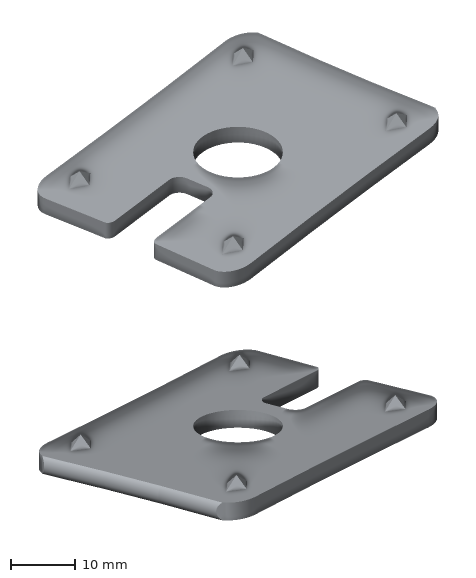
import cadquery as cq

half_width = 20.0
half_length = 28.3
thickness = 3.0

side_inset = 0.2
side_flat_half = 7.25
end_inset = 0.3
end_flat_half = 5.2

corner_x = 3.5
corner_y = 5.05

hole_diameter = 14.0

slot_half_width = 4.0
slot_top_y = -10.6
slot_top_radius = 2.0
mouth_round_x = 1.05
mouth_round_y = 1.45

nose_bulge = 0.6
nose_root_half = 18.0
nose_root_y = 27.8
nose_tip_half = 16.5
nose_embed = 1.15
nose_overrun = 2.85

spike_x = 15.0
spike_y = 21.25
spike_half_x = 1.95
spike_half_y = 2.8
spike_height = 1.9

corner_start_x = half_width - corner_x
corner_start_y = half_length - corner_y
side_flat_x = half_width - side_inset
end_flat_y = half_length - end_inset


def make_plate():
    """Plate with elliptical corners and slightly dished edges."""
    outline = (
        cq.Workplane("XY")
        .moveTo(half_width, corner_start_y)
        .ellipseArc(corner_x, corner_y, 0, 90)
        .lineTo(end_flat_half, end_flat_y)
        .lineTo(-end_flat_half, end_flat_y)
        .lineTo(-corner_start_x, half_length)
        .ellipseArc(corner_x, corner_y, 90, 180)
        .lineTo(-side_flat_x, side_flat_half)
        .lineTo(-side_flat_x, -side_flat_half)
        .lineTo(-half_width, -corner_start_y)
        .ellipseArc(corner_x, corner_y, 180, 270)
        .lineTo(-end_flat_half, -end_flat_y)
        .lineTo(end_flat_half, -end_flat_y)
        .lineTo(corner_start_x, -half_length)
        .ellipseArc(corner_x, corner_y, 270, 360)
        .lineTo(side_flat_x, -side_flat_half)
        .lineTo(side_flat_x, side_flat_half)
        .close()
    )
    return outline.extrude(thickness)


def nose_section(x, edge_y):
    """Section of the nose at x: an arc bulging past the plate edge, closed inside the plate."""
    embed_y = nose_root_y - nose_embed
    return (
        cq.Workplane("YZ", origin=(x, 0, 0))
        .moveTo(embed_y, 0)
        .lineTo(edge_y, 0)
        .threePointArc((edge_y + nose_bulge, thickness / 2), (edge_y, thickness))
        .lineTo(embed_y, thickness)
        .close()
        .val()
    )


def make_nose():
    """Rounded nose following the dished +Y edge, trimmed to a trapezoid in plan."""
    sections = [
        nose_section(-corner_start_x, half_length),
        nose_section(-end_flat_half, end_flat_y),
        nose_section(end_flat_half, end_flat_y),
        nose_section(corner_start_x, half_length),
    ]
    nose = cq.Workplane(cq.Solid.makeLoft(sections, True))
    for side in (-1, 1):
        end_face = cq.Face.makeFromWires(nose_section(side * corner_start_x, half_length))
        end = cq.Solid.extrudeLinear(end_face, cq.Vector(side * nose_overrun, 0, 0))
        nose = nose.union(cq.Workplane(end))
    tip_y = half_length + nose_bulge
    footprint = (
        cq.Workplane("XY")
        .polyline(
            [
                (-nose_root_half, nose_root_y),
                (nose_root_half, nose_root_y),
                (nose_tip_half, tip_y),
                (-nose_tip_half, tip_y),
            ]
        )
        .close()
        .extrude(thickness)
    )
    return nose.intersect(footprint)


def make_slot():
    """Slot cutter with rounded inner corners and a flared mouth."""
    mouth_half = slot_half_width + mouth_round_x
    neck_y = -end_flat_y + mouth_round_y
    round_start_y = slot_top_y - slot_top_radius
    outside_y = -half_length
    outline = (
        cq.Workplane("XY")
        .moveTo(-mouth_half, outside_y)
        .lineTo(-mouth_half, -end_flat_y)
        .ellipseArc(mouth_round_x, mouth_round_y, 270, 360)
        .lineTo(-slot_half_width, round_start_y)
        .radiusArc((slot_top_radius - slot_half_width, slot_top_y), slot_top_radius)
        .lineTo(slot_half_width - slot_top_radius, slot_top_y)
        .radiusArc((slot_half_width, round_start_y), slot_top_radius)
        .lineTo(slot_half_width, neck_y)
        .ellipseArc(mouth_round_x, mouth_round_y, 180, 270)
        .lineTo(mouth_half, outside_y)
        .close()
    )
    return outline.extrude(thickness)


def make_spike(x, y):
    """Pyramid with a diamond base whose diagonals lie along X and Y."""
    base = cq.Vector(x, y, thickness)
    corners = [
        base + cq.Vector(spike_half_x, 0, 0),
        base + cq.Vector(0, spike_half_y, 0),
        base + cq.Vector(-spike_half_x, 0, 0),
        base + cq.Vector(0, -spike_half_y, 0),
    ]
    apex = base + cq.Vector(0, 0, spike_height)
    faces = [cq.Face.makeFromWires(cq.Wire.makePolygon(corners, close=True))]
    for start, end in zip(corners, corners[1:] + corners[:1]):
        faces.append(cq.Face.makeFromWires(cq.Wire.makePolygon([start, end, apex], close=True)))
    return cq.Workplane(cq.Solid.makeSolid(cq.Shell.makeShell(faces)))


plate = make_plate().union(make_nose())
hole = cq.Workplane("XY").circle(hole_diameter / 2).extrude(thickness)
result = plate.cut(hole).cut(make_slot())
for sign_x in (-1, 1):
    for sign_y in (-1, 1):
        result = result.union(make_spike(sign_x * spike_x, sign_y * spike_y))